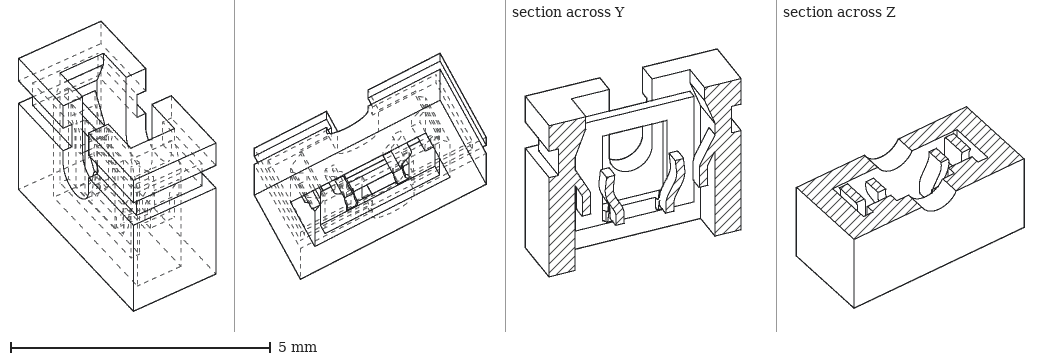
import cadquery as cq
import math

width = 4.05
depth = 1.9
height = 3.5
cap_height = 0.6
groove_height = 0.6
groove_depth = 0.2
groove_top = height - cap_height
groove_bottom = groove_top - groove_height

slot_width = 0.9
slot_radius = slot_width / 2
slot_bottom = 1.5
slot_center_z = slot_bottom + slot_radius

cavity_depth = 1.0
mouth_width = 2.5
cavity_width = 2.95
mouth_height = 0.3
flare_height = 0.595
flare_top = height - mouth_height
flare_bottom = flare_top - flare_height
cavity_front = -cavity_depth / 2
cavity_half_width = cavity_width / 2

plate_thickness = 0.2
plate_top = 3.0
bar_height = 0.4
plate_bottom = 0.565
plate_back = cavity_front + plate_thickness

leaf_gap = 0.2
leaf_front = plate_back + leaf_gap
inner_leaf_width = 0.4
outer_leaf_width = 0.56
leaf_thickness = 0.182
slope_angle = math.radians(28)
sine = math.sin(slope_angle)
cosine = math.cos(slope_angle)
half_sine = math.sin(slope_angle / 2)
half_cosine = math.cos(slope_angle / 2)

inner_leaf_top = 1.98
inner_leaf_bottom = 0.81
inner_leaf_tip_x = 0.63
inner_leaf_bulge_x = 0.665
inner_leaf_bulge_z = 1.675
inner_bend_radius = 0.445
inner_leaf_contact_x = 0.435
contact_radius = 0.485

outer_leaf_contact_x = 1.142
outer_leaf_contact_z = 1.66
outer_bend_radius = 0.245
outer_leaf_bottom = 1.215

tongue_width = 0.2
tongue_rise = 0.285
tongue_thickness = 0.245
tongue_root_z = 0.89
tongue_flare = 0.05


def block(x_size, y_size, z_low, z_high):
    return cq.Workplane("XY", origin=(0, 0, z_low)).rect(x_size, y_size).extrude(z_high - z_low)


def xz_plane(y):
    """Plane with local axes X and Z; a negative extrusion length goes toward +Y."""
    return cq.Workplane("XZ", origin=(0, y, 0))


def make_housing():
    neck = block(width - 2 * groove_depth, depth - 2 * groove_depth, groove_bottom, groove_top)
    body = block(width, depth, 0, groove_bottom).union(neck).union(block(width, depth, groove_top, height))
    return body.cut(make_slot()).cut(make_cavity())


def make_slot():
    return (
        xz_plane(depth / 2)
        .moveTo(-slot_radius, height)
        .lineTo(-slot_radius, slot_center_z)
        .threePointArc((0, slot_bottom), (slot_radius, slot_center_z))
        .lineTo(slot_radius, height)
        .close()
        .extrude(depth)
    )


def make_cavity():
    right_side = [
        (cavity_half_width, 0),
        (cavity_half_width, flare_bottom),
        (mouth_width / 2, flare_top),
        (mouth_width / 2, height),
    ]
    left_side = [(-x, z) for x, z in reversed(right_side)]
    return xz_plane(cavity_front).polyline(right_side + left_side).close().extrude(-cavity_depth)


def make_plate():
    plate_center_y = cavity_front + plate_thickness / 2
    plate = block(mouth_width, plate_thickness, plate_bottom, plate_top).translate((0, plate_center_y, 0))
    window_half_width = inner_leaf_contact_x + tongue_width + tongue_flare
    window = block(2 * window_half_width, depth, tongue_root_z, plate_top - bar_height)
    return plate.cut(window)


def make_inner_leaf():
    """Leaf that bulges outward near its tip and slopes inward to a rounded lower end."""
    bend_x = inner_leaf_bulge_x - inner_bend_radius
    outer_radius = inner_bend_radius + leaf_thickness
    lower_x = inner_leaf_contact_x + contact_radius
    inner_slope_top = (bend_x + inner_bend_radius * cosine, inner_leaf_bulge_z - inner_bend_radius * sine)
    slope_end_x = lower_x - contact_radius * cosine
    slope_end_z = inner_slope_top[1] - (inner_slope_top[0] - slope_end_x) / math.tan(slope_angle)
    lower_z = slope_end_z - contact_radius * sine

    def upper(radius, across, down):
        return (bend_x + radius * across, inner_leaf_bulge_z - radius * down)

    def lower(radius, across, up):
        return (lower_x - radius * across, lower_z + radius * up)

    lower_radius = contact_radius - leaf_thickness
    return (
        xz_plane(leaf_front)
        .moveTo(inner_leaf_tip_x, inner_leaf_top)
        .lineTo(*upper(inner_bend_radius, 1, 0))
        .threePointArc(upper(inner_bend_radius, half_cosine, half_sine), inner_slope_top)
        .lineTo(slope_end_x, slope_end_z)
        .threePointArc(lower(contact_radius, half_cosine, half_sine), lower(contact_radius, 1, 0))
        .lineTo(inner_leaf_contact_x, inner_leaf_bottom)
        .lineTo(inner_leaf_contact_x + leaf_thickness, inner_leaf_bottom)
        .lineTo(*lower(lower_radius, 1, 0))
        .threePointArc(lower(lower_radius, half_cosine, half_sine), lower(lower_radius, cosine, sine))
        .lineTo(*upper(outer_radius, cosine, sine))
        .threePointArc(upper(outer_radius, half_cosine, half_sine), upper(outer_radius, 1, 0))
        .lineTo(inner_leaf_tip_x + leaf_thickness, inner_leaf_top)
        .close()
        .extrude(-inner_leaf_width)
    )


def make_outer_leaf():
    """Leaf that slopes inward from the end wall to a rounded contact, then drops straight down."""
    bend_x = outer_leaf_contact_x + outer_bend_radius
    back_radius = outer_bend_radius - leaf_thickness

    def bend(radius, across, up):
        return (bend_x - radius * across, outer_leaf_contact_z + radius * up)

    def wall_point(start):
        rise = (cavity_half_width - start[0]) / math.tan(slope_angle)
        return (cavity_half_width, start[1] + rise)

    slope_start = bend(outer_bend_radius, cosine, sine)
    back_slope_start = bend(back_radius, cosine, sine)
    return (
        xz_plane(leaf_front)
        .moveTo(outer_leaf_contact_x, outer_leaf_bottom)
        .lineTo(outer_leaf_contact_x, outer_leaf_contact_z)
        .threePointArc(bend(outer_bend_radius, half_cosine, half_sine), slope_start)
        .lineTo(*wall_point(slope_start))
        .lineTo(*wall_point(back_slope_start))
        .lineTo(*back_slope_start)
        .threePointArc(bend(back_radius, half_cosine, half_sine), bend(back_radius, 1, 0))
        .lineTo(outer_leaf_contact_x + leaf_thickness, outer_leaf_bottom)
        .close()
        .extrude(-outer_leaf_width)
    )


def make_tongue():
    """S-shaped strip from the plate up to the inner leaf, widened where it leaves the plate."""
    inner_x = inner_leaf_contact_x
    outer_x = inner_x + tongue_width
    along_plus_y, rising = (1, 0), (1, 1)
    along_minus_y, falling = (-1, 0), (-1, -1)
    flare_end = plate_back + tongue_flare
    root_underside = tongue_root_z - tongue_thickness
    end_z = tongue_root_z + tongue_rise
    strip = (
        cq.Workplane("YZ", origin=(inner_x, 0, 0))
        .moveTo(plate_back, tongue_root_z)
        .lineTo(flare_end, tongue_root_z)
        .spline([(leaf_front, end_z)], tangents=[along_plus_y, rising], includeCurrent=True)
        .lineTo(leaf_front, end_z - tongue_thickness)
        .spline([(flare_end, root_underside)], tangents=[falling, along_minus_y], includeCurrent=True)
        .lineTo(plate_back, root_underside)
        .close()
        .extrude(tongue_width + tongue_flare)
    )
    outline = (
        cq.Workplane("XY")
        .moveTo(inner_x, plate_back)
        .lineTo(outer_x + tongue_flare, plate_back)
        .lineTo(outer_x, flare_end)
        .lineTo(outer_x, leaf_front)
        .lineTo(inner_x, leaf_front)
        .close()
        .extrude(height)
    )
    return strip.intersect(outline)


result = make_housing().union(make_plate())
for piece in (make_inner_leaf(), make_tongue(), make_outer_leaf()):
    result = result.union(piece).union(piece.mirror("YZ"))